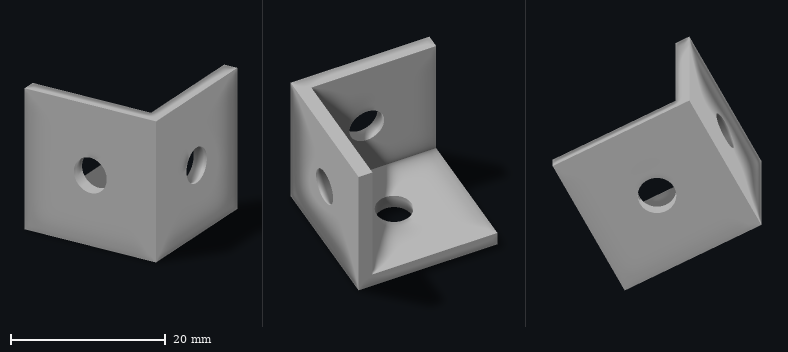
import cadquery as cq

side = 20.0
wall = 2.0
hole_diameter = 5.0

middle = side / 2
inner = side - wall

cube = cq.Workplane("XY").box(side, side, side, centered=False)
open_space = (
    cq.Workplane("XY")
    .box(inner, inner, inner, centered=False)
    .translate((0, wall, wall))
)
bracket = cube.cut(open_space)


def wall_hole(direction):
    """Cylinder along the given axis through the middle of the cube."""
    start = cq.Vector(middle, middle, middle) - direction * middle
    return cq.Solid.makeCylinder(hole_diameter / 2, side, start, direction)


for axis in (cq.Vector(1, 0, 0), cq.Vector(0, 1, 0), cq.Vector(0, 0, 1)):
    bracket = bracket.cut(wall_hole(axis))

result = bracket